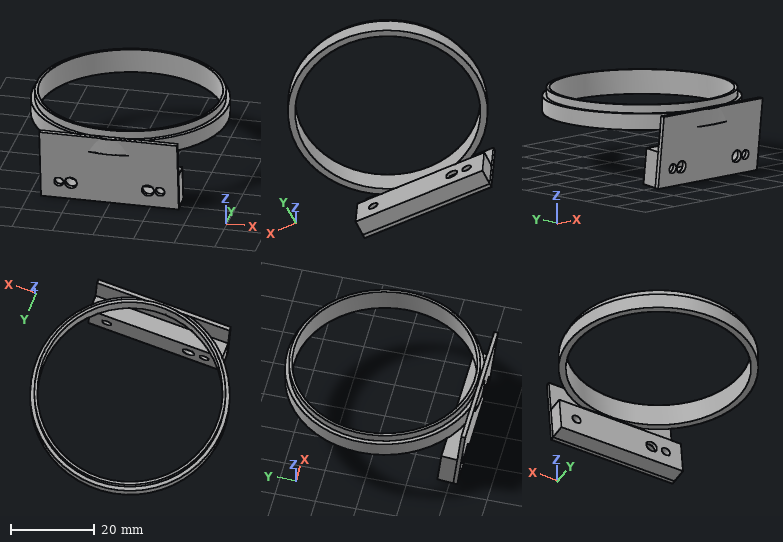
import cadquery as cq
import math

RING_DIAMETER = 48.0
LIP_DIAMETER = 46.0
BORE_DIAMETER = 44.5
BAND_HEIGHT = 4.0
RING_HEIGHT = 6.0

PLATE_WIDTH = 34.0
PLATE_HEIGHT = 18.0
PLATE_THICKNESS = 1.0
PLATE_TILT = 6.3
PLATE_TOP_Y = -23.95
PLATE_TOP_Z = 4.15

BLOCK_HEIGHT = 9.0
BLOCK_DEPTH = 4.0

SCREW_DIAMETER = 2.3
SCREW_X = 12.5
SLOT_WIDTH = 3.0
SLOT_END_X = 9.5
SLOT_DEPTH = 3.0
EXIT_SHIFT = 1.0
HOLE_Z = BLOCK_HEIGHT / 2


def place_on_tilt(body):
    """Move a body from the upright plate frame to its leaning position.

    In the upright frame the outer face lies on Y = 0 and the lower edge on Z = 0.
    """
    tilt = math.radians(PLATE_TILT)
    bottom_y = PLATE_TOP_Y + PLATE_HEIGHT * math.sin(tilt)
    bottom_z = PLATE_TOP_Z - PLATE_HEIGHT * math.cos(tilt)
    leaning = body.rotate((0, 0, 0), (1, 0, 0), PLATE_TILT)
    return leaning.translate((0, bottom_y, bottom_z))


def panel(height, front_y, depth):
    """Upright slab of the plate's width, standing on Z = 0."""
    slab = cq.Workplane("XY").box(PLATE_WIDTH, depth, height, centered=(True, False, False))
    return slab.translate((0, front_y, 0))


def face_plane(y):
    """Sketch plane at depth y, centred on the hole row and facing outward (-Y)."""
    return cq.Workplane("XZ", origin=(0, y, HOLE_Z))


def bores(positions, diameter, front_y, depth):
    """Round cutters running inward (+Y) from front_y."""
    points = [(x, 0) for x in positions]
    return face_plane(front_y).pushPoints(points).circle(diameter / 2).extrude(-depth)


def make_ring():
    band = cq.Workplane("XY").circle(RING_DIAMETER / 2).extrude(BAND_HEIGHT)
    lip = cq.Workplane("XY").circle(LIP_DIAMETER / 2).extrude(RING_HEIGHT)
    bore = cq.Workplane("XY").circle(BORE_DIAMETER / 2).extrude(RING_HEIGHT)
    return band.union(lip).cut(bore)


def make_plate():
    plate = panel(PLATE_HEIGHT, 0, PLATE_THICKNESS)
    plate = plate.cut(bores([-SCREW_X, SCREW_X], SCREW_DIAMETER, 0, PLATE_THICKNESS))
    plate = plate.cut(bores([-SLOT_END_X, SLOT_END_X], SLOT_WIDTH, 0, PLATE_THICKNESS))
    return place_on_tilt(plate)


def make_holder():
    """Ring and leaning plate as one body."""
    return make_ring().union(make_plate())


def make_block():
    """Block with two screw holes, a round-ended slot at the plate and one rear outlet."""
    block = panel(BLOCK_HEIGHT, PLATE_THICKNESS, BLOCK_DEPTH)
    block = block.cut(bores([-SCREW_X, SCREW_X], SCREW_DIAMETER, PLATE_THICKNESS, BLOCK_DEPTH))
    slot_length = 2 * SLOT_END_X + SLOT_WIDTH
    slot = face_plane(PLATE_THICKNESS).slot2D(slot_length, SLOT_WIDTH).extrude(-SLOT_DEPTH)
    outlet = bores([EXIT_SHIFT - SLOT_END_X], SLOT_WIDTH, PLATE_THICKNESS, BLOCK_DEPTH)
    return place_on_tilt(block.cut(slot).cut(outlet))


holder = make_holder()
block = make_block()
result = cq.Compound.makeCompound([holder.solids().val(), block.solids().val()])